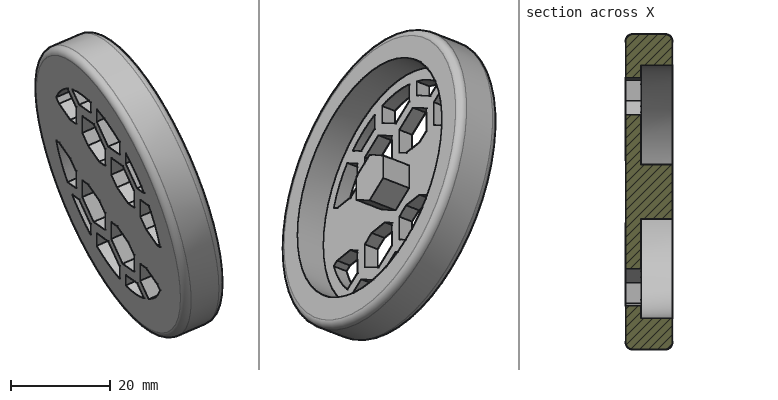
import cadquery as cq
import math

disc_diameter = 63.5
disc_thickness = 9.5
rim_fillet = 1.6
front_y = -disc_thickness / 2

web_thickness = 3.2
recess_diameter = 50.8
recess_depth = disc_thickness - web_thickness
web_back_y = front_y + web_thickness

grille_diameter = 45.7
cell_width = 9.5
rib_width = 2.6
band_height = 12.7
cell_pitch = cell_width + rib_width
row_pitch = cell_pitch * math.sin(math.radians(60))
row_numbers = (-2, -1, 1, 2)
columns_each_side = 2


def disc(diameter, start_y, thickness):
    """Disc on the Y axis running from start_y toward +Y."""
    return cq.Workplane("XZ", origin=(0, start_y, 0)).circle(diameter / 2).extrude(-thickness)


def hexagon_prisms(centers, start_y, length):
    """Hexagonal prisms, each with a corner on top, running from start_y toward +Y."""
    corner_radius = cell_width / 2 / math.cos(math.radians(30))
    angles = [math.radians(90 + 60 * corner) for corner in range(7)]
    outline = [(corner_radius * math.cos(a), corner_radius * math.sin(a)) for a in angles]
    return (
        cq.Workplane("XZ", origin=(0, start_y, 0))
        .pushPoints(centers)
        .placeSketch(cq.Sketch().polygon(outline))
        .extrude(-length)
    )


def cell_centers():
    """Staggered cell centres; odd rows are shifted by half a pitch."""
    centers = []
    for row in row_numbers:
        shift = cell_pitch / 2 if row % 2 else 0
        for column in range(-columns_each_side, columns_each_side + 1):
            centers.append((column * cell_pitch + shift, row * row_pitch))
    return centers


def grille_openings():
    """Hexagonal cells trimmed by the grille circle and by the middle band."""
    cells = hexagon_prisms(cell_centers(), front_y, web_thickness)
    band = cq.Workplane("XY").box(disc_diameter, disc_thickness, band_height)
    return cells.intersect(disc(grille_diameter, front_y, web_thickness)).cut(band)


def rear_recess():
    """Round recess around a central cell-sized boss that ends flush with the rear face."""
    boss = hexagon_prisms([(0, 0)], web_back_y, recess_depth)
    return disc(recess_diameter, web_back_y, recess_depth).cut(boss)


body = disc(disc_diameter, front_y, disc_thickness).edges("%CIRCLE").fillet(rim_fillet)
result = body.cut(rear_recess()).cut(grille_openings())